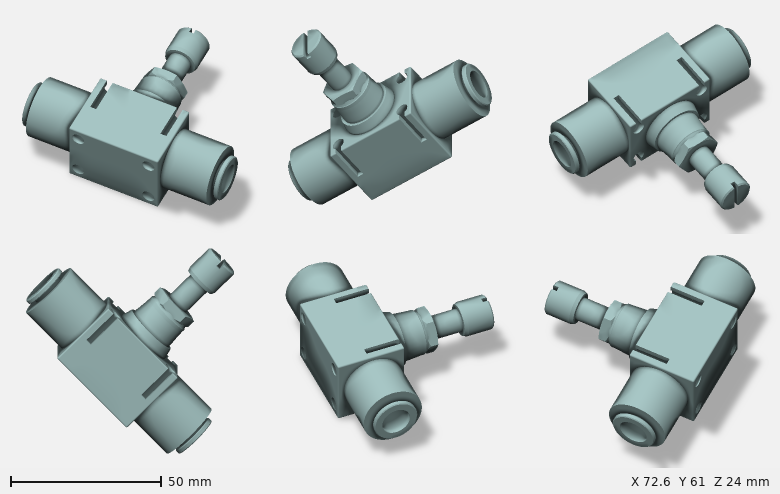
import cadquery as cq
import math


BODY_LENGTH = 33.0
BODY_DEPTH = 24.0
BODY_HEIGHT = 24.0
BODY_BACK_Y = 11.4
BODY_FRONT_Y = BODY_BACK_Y - BODY_DEPTH
BODY_EDGE_RADIUS = 0.5

HOLE_DIAMETER = 4.4
HOLE_SPACING_X = 26.0
HOLE_SPACING_Z = 16.0
SLOT_WIDTH = 2.2
SLOT_LENGTH = 12.7

OVERALL_LENGTH = 72.6
SLEEVE_SPAN = 66.8
SLEEVE_RADIUS = 10.5
COLLAR_NECK_RADIUS = 5.65
COLLAR_RADIUS = 7.75
COLLAR_THICKNESS = 1.7
COLLAR_CHAMFER = 0.3
BORE_RADIUS = 5.0

FLANGE_BASE_RADIUS = 10.1
FLANGE_TOP_RADIUS = 9.2
FLANGE_RIM = 0.5
FLANGE_HEIGHT = 3.8
BONNET_BASE_RADIUS = 8.2
BONNET_TOP_RADIUS = 7.75
BONNET_LOWER_BAND = 0.8
BONNET_UPPER_BAND = 1.5
BONNET_HEIGHT = 8.0
BONNET_TOP_CHAMFER = 0.2
NUT_SEAT_RADIUS = 7.2
NUT_SEAT_HEIGHT = 0.7
NUT_SEAT_END_RADIUS = 6.6

NUT_ACROSS_FLATS = 14.0
NUT_THICKNESS = 3.6
NUT_TOP_BEVEL_HEIGHT = 0.4
NUT_BASE_BEVEL_HEIGHT = 0.7
NUT_FACE_RADIUS = NUT_ACROSS_FLATS / 2

STEM_RADIUS = 4.0
KNOB_END_Y = 48.4
KNOB_RADIUS = 6.0
KNOB_LENGTH = 10.6
KNOB_TOP_CHAMFER = 0.5
KNOB_BASE_CHAMFER_HEIGHT = 1.3
KNOB_BASE_RADIUS = 5.5
DRIVER_SLOT_WIDTH = 1.6
DRIVER_SLOT_DEPTH = 2.1

FLANGE_TOP_Y = BODY_BACK_Y + FLANGE_HEIGHT
BONNET_TOP_Y = FLANGE_TOP_Y + BONNET_HEIGHT
NUT_BASE_Y = BONNET_TOP_Y + NUT_SEAT_HEIGHT
NUT_TOP_Y = NUT_BASE_Y + NUT_THICKNESS
KNOB_BASE_Y = KNOB_END_Y - KNOB_LENGTH


def revolve_about_y(profile):
    """Revolve (radius, y) points, closed along the axis, about the Y axis."""
    closed = [(0, profile[0][1])] + profile + [(0, profile[-1][1])]
    return cq.Workplane("XY").polyline(closed).close().revolve(360, (0, 0), (0, 1))


def flow_axis_cylinder(radius, length):
    """Cylinder along the flow axis, centred on X = 0."""
    return cq.Workplane("YZ", origin=(-length / 2, 0, 0)).circle(radius).extrude(length)


def make_body():
    body = cq.Workplane("XY").box(BODY_LENGTH, BODY_DEPTH, BODY_HEIGHT)
    body = body.edges().fillet(BODY_EDGE_RADIUS)
    return body.translate((0, (BODY_FRONT_Y + BODY_BACK_Y) / 2, 0))


def make_connections():
    """Sleeves, collar necks and release collars, symmetric about X = 0."""
    neck_length = OVERALL_LENGTH - 2 * COLLAR_THICKNESS
    collar_offset = (OVERALL_LENGTH - COLLAR_THICKNESS) / 2
    sleeves = flow_axis_cylinder(SLEEVE_RADIUS, SLEEVE_SPAN)
    connections = sleeves.union(flow_axis_cylinder(COLLAR_NECK_RADIUS, neck_length))
    collar = flow_axis_cylinder(COLLAR_RADIUS, COLLAR_THICKNESS)
    collar = collar.faces("<X or >X").edges().chamfer(COLLAR_CHAMFER)
    for side in (-1, 1):
        connections = connections.union(collar.translate((side * collar_offset, 0, 0)))
    return connections


def make_bonnet():
    """Flange, tapered bonnet and conical nut seat, sunk to the flow axis for a sound joint.

    The seat cone is wider than the nut flats, so it runs on into the nut and ends inside it.
    """
    seat_base_radius = BONNET_TOP_RADIUS - BONNET_TOP_CHAMFER
    seat_slope = NUT_SEAT_HEIGHT / (seat_base_radius - NUT_SEAT_RADIUS)
    seat_end_y = NUT_BASE_Y + seat_slope * (NUT_SEAT_RADIUS - NUT_SEAT_END_RADIUS)
    return revolve_about_y([
        (FLANGE_BASE_RADIUS, 0),
        (FLANGE_BASE_RADIUS, BODY_BACK_Y + FLANGE_RIM),
        (FLANGE_TOP_RADIUS, FLANGE_TOP_Y),
        (BONNET_BASE_RADIUS, FLANGE_TOP_Y),
        (BONNET_BASE_RADIUS, FLANGE_TOP_Y + BONNET_LOWER_BAND),
        (BONNET_TOP_RADIUS, BONNET_TOP_Y - BONNET_UPPER_BAND),
        (BONNET_TOP_RADIUS, BONNET_TOP_Y - BONNET_TOP_CHAMFER),
        (seat_base_radius, BONNET_TOP_Y),
        (NUT_SEAT_RADIUS, NUT_BASE_Y),
        (NUT_SEAT_END_RADIUS, seat_end_y),
    ])


def make_nut():
    """Hexagon with corners on +X and -X, its corners bevelled on both faces."""
    corner_radius = NUT_ACROSS_FLATS / math.sqrt(3)
    hexagon = (
        cq.Workplane("XZ", origin=(0, NUT_TOP_Y, 0))
        .polygon(6, 2 * corner_radius)
        .extrude(NUT_THICKNESS)
    )
    bevel = revolve_about_y([
        (NUT_SEAT_RADIUS, NUT_BASE_Y),
        (corner_radius, NUT_BASE_Y + NUT_BASE_BEVEL_HEIGHT),
        (corner_radius, NUT_TOP_Y - NUT_TOP_BEVEL_HEIGHT),
        (NUT_FACE_RADIUS, NUT_TOP_Y),
    ])
    return hexagon.intersect(bevel)


def make_adjusting_screw():
    screw = revolve_about_y([
        (STEM_RADIUS, NUT_BASE_Y),
        (STEM_RADIUS, KNOB_BASE_Y),
        (KNOB_BASE_RADIUS, KNOB_BASE_Y),
        (KNOB_RADIUS, KNOB_BASE_Y + KNOB_BASE_CHAMFER_HEIGHT),
        (KNOB_RADIUS, KNOB_END_Y - KNOB_TOP_CHAMFER),
        (KNOB_RADIUS - KNOB_TOP_CHAMFER, KNOB_END_Y),
    ])
    driver_slot = cq.Workplane("XY").box(DRIVER_SLOT_WIDTH, 2 * DRIVER_SLOT_DEPTH, 2 * KNOB_RADIUS)
    return screw.cut(driver_slot.translate((0, KNOB_END_Y, 0)))


def make_mounting_cuts():
    """Four through holes along Y, each opened by a slot to the nearest top or bottom face."""
    cuts = (
        cq.Workplane("XZ", origin=(0, BODY_BACK_Y, 0))
        .rect(HOLE_SPACING_X, HOLE_SPACING_Z, forConstruction=True)
        .vertices()
        .circle(HOLE_DIAMETER / 2)
        .extrude(BODY_DEPTH)
    )
    slot_height = (BODY_HEIGHT - HOLE_SPACING_Z) / 2
    slot = cq.Workplane("XY").box(SLOT_WIDTH, SLOT_LENGTH, slot_height)
    slot_y = BODY_BACK_Y - SLOT_LENGTH / 2
    slot_z = (BODY_HEIGHT - slot_height) / 2
    for x_side in (-1, 1):
        for z_side in (-1, 1):
            place = (x_side * HOLE_SPACING_X / 2, slot_y, z_side * slot_z)
            cuts = cuts.union(slot.translate(place))
    return cuts


def make_flow_bore():
    return flow_axis_cylinder(BORE_RADIUS, OVERALL_LENGTH)


result = (
    make_body()
    .union(make_connections())
    .union(make_bonnet())
    .union(make_nut())
    .union(make_adjusting_screw())
    .cut(make_mounting_cuts())
    .cut(make_flow_bore())
)